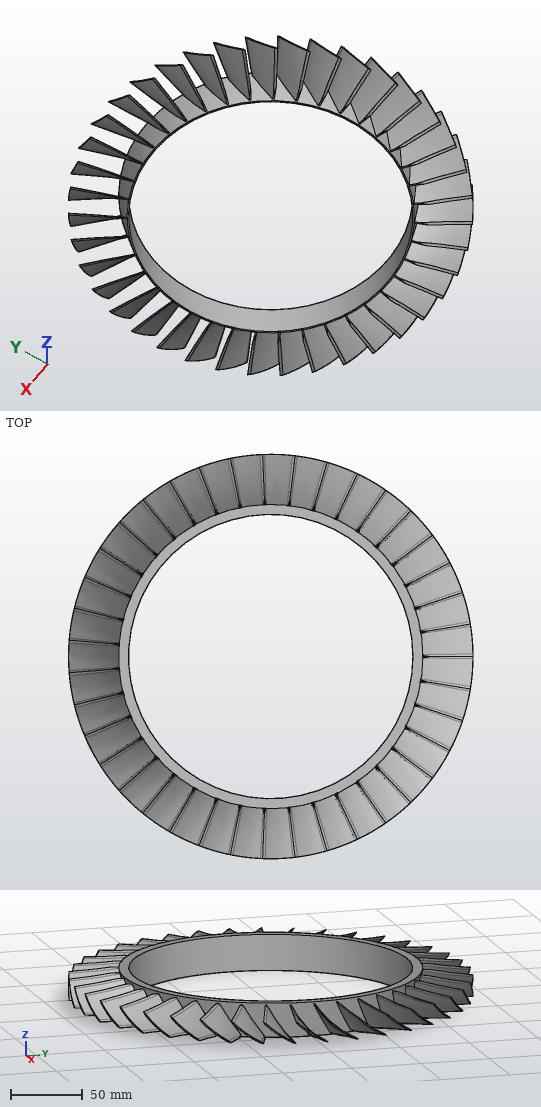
import cadquery as cq
import math

height = 26.0
bore_radius = 99.0
hub_top_radius = 106.0
hub_bottom_radius = 100.0

blade_count = 39
tip_radius = 141.0
tip_half_rise = 7.5
rise_exponent = 1.7
blade_thickness = 1.0
edge_bevel = 2.0
camber = 1.0
edge_margin = 1.5

loft_start = bore_radius + 0.5
loft_end = tip_radius + 1.5
section_count = 5

pitch = 360.0 / blade_count
blade_top = height / 2 - edge_margin


def make_hub():
    half = height / 2
    wall = [
        (bore_radius, -half),
        (hub_bottom_radius, -half),
        (hub_top_radius, half),
        (bore_radius, half),
    ]
    return cq.Workplane("XZ").polyline(wall).close().revolve(360, (0, 0), (0, 1))


def blade_section(radius):
    """Closed wire across the blade, in the plane X = radius.

    The width grows with radius, so the blade edges are radial in plan. The rise
    falls with a power of the radius, so the blade lies flatter towards its tip.
    """
    half_width = radius * math.tan(math.radians(pitch / 2))
    half_rise = tip_half_rise * (tip_radius / radius) ** rise_exponent
    half_chord = math.hypot(half_width, half_rise)
    along = (half_width / half_chord, -half_rise / half_chord)
    upward = (-along[1], along[0])

    def point(chord_place, side):
        """Point at a place along the chord; side is 1 on top, -1 below, 0 on the mean line."""
        sag = camber * (1 - (chord_place / half_chord) ** 2)
        offset = side * blade_thickness / 2 - sag
        return cq.Vector(
            radius,
            chord_place * along[0] + offset * upward[0],
            chord_place * along[1] + offset * upward[1],
        )

    shoulder = half_chord - edge_bevel
    leading = point(-half_chord, 0)
    trailing = point(half_chord, 0)
    return cq.Wire.assembleEdges([
        cq.Edge.makeLine(leading, point(-shoulder, 1)),
        cq.Edge.makeThreePointArc(point(-shoulder, 1), point(0, 1), point(shoulder, 1)),
        cq.Edge.makeLine(point(shoulder, 1), trailing),
        cq.Edge.makeLine(trailing, point(shoulder, -1)),
        cq.Edge.makeThreePointArc(point(shoulder, -1), point(0, -1), point(-shoulder, -1)),
        cq.Edge.makeLine(point(-shoulder, -1), leading),
    ])


def make_blade():
    step = (loft_end - loft_start) / (section_count - 1)
    sections = [blade_section(loft_start + i * step) for i in range(section_count)]
    blade = cq.Workplane(obj=cq.Solid.makeLoft(sections))
    envelope = cq.Workplane("XY").circle(tip_radius).extrude(blade_top, both=True)
    return blade.intersect(envelope).rotate((0, 0, 0), (0, 0, 1), pitch / 2)


def make_wheel():
    blade = make_blade()
    blades = [blade.rotate((0, 0, 0), (0, 0, 1), i * pitch).val() for i in range(blade_count)]
    return cq.Workplane(obj=make_hub().val().fuse(*blades)).solids()


result = make_wheel()